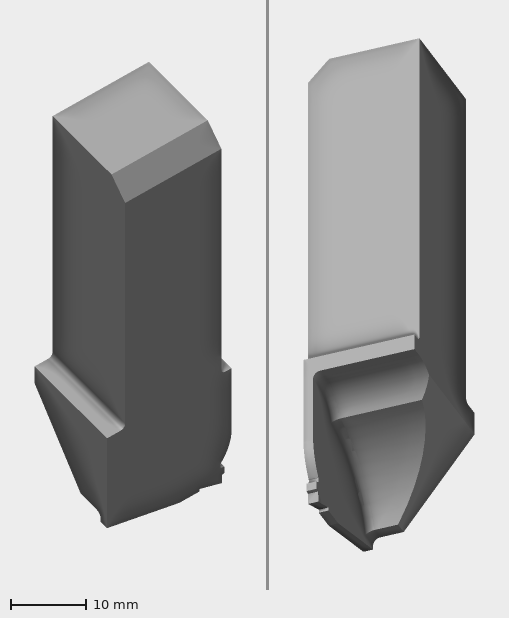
import cadquery as cq

height = 70.0
width = 16.0
head_depth = 20.7

shank_front = 3.0
shank_back = shank_front + width
shank_chamfer = 3.0
front_shoulder_fillet = 0.85
back_shoulder_fillet = 0.7

head_top = 21.9
slope_top = 18.55
slope_end_x = 10.2
slope_end_z = 5.6
blade_thickness = 1.4
blade_face_x = width - blade_thickness
blade_bottom = 0.85
blade_flat_start = 12.05
blade_front_z = 3.9
nose_start_z = 8.8
nose_mid = (20.15, 6.3)
nose_end = (18.9, 4.0)

pocket_fillet = 1.05
small_disc_center = (19.1, 13.65)
small_disc_radius = 5.95
large_disc_center = (17.2, 0.5)
large_disc_radius = 16.1
pocket_margin = 7.0

tip = (19.1, 0.0)
tip_heel = (19.1, 1.6)
tip_side_low = (19.6, 1.75)
tip_side_facet = (19.6, 2.65)
tip_bottom_facet = (17.65, 0.5)
tip_side_high = (19.6, 2.95)
insert_back_low = (18.9, 3.2)
insert_back_high = (18.7, 5.9)
insert_top_back = (17.9, 8.0)
insert_top_front = (15.4, 8.0)
insert_shoulder = (14.9, 7.0)
insert_front_mid = (15.0, 5.9)
insert_front_low = (15.4, 1.3)
tip_rise = 0.15


def make_body_block():
    """Shank and head outline in YZ, with rounded shoulders."""
    outline = (
        cq.Workplane("YZ")
        .moveTo(0, blade_front_z)
        .lineTo(blade_flat_start, blade_bottom)
        .lineTo(insert_front_low[0], blade_bottom)
        .lineTo(*insert_front_low)
        .lineTo(*nose_end)
        .threePointArc(nose_mid, (head_depth, nose_start_z))
        .lineTo(head_depth, head_top)
        .lineTo(shank_back, head_top)
        .lineTo(shank_back, height)
        .lineTo(shank_front, height)
        .lineTo(shank_front, head_top)
        .lineTo(0, head_top)
        .close()
    )
    block = outline.extrude(width)
    middle_x = width / 2
    block = block.edges(cq.NearestToPointSelector((middle_x, shank_front, head_top))).fillet(
        front_shoulder_fillet
    )
    return block.edges(cq.NearestToPointSelector((middle_x, shank_back, head_top))).fillet(
        back_shoulder_fillet
    )


def make_side_profile():
    """XZ limit of the holder: top chamfer and sloped underside."""
    return (
        cq.Workplane("XZ")
        .moveTo(0, slope_top)
        .lineTo(slope_end_x, slope_end_z)
        .lineTo(slope_end_x, 0)
        .lineTo(width, 0)
        .lineTo(width, height - shank_chamfer)
        .lineTo(width - shank_chamfer, height)
        .lineTo(0, height)
        .close()
        .extrude(-head_depth)
    )


def make_disc_cutter(center, radius):
    """Disc-shaped cutter, rounded where its wall meets the blade face."""
    disc = cq.Workplane("YZ").center(*center).circle(radius).extrude(blade_face_x)
    return disc.faces(">X").edges().fillet(pocket_fillet)


def make_box_cutter(y_start, y_end, z_bottom, z_top):
    """Straight cutter with a rounded upper edge at the blade face."""
    box = cq.Workplane("XY").box(
        blade_face_x, y_end - y_start, z_top - z_bottom, centered=False
    ).translate((0, y_start, z_bottom))
    return box.edges(">X and >Z").fillet(pocket_fillet)


def make_pocket():
    """Two discs, a level slot behind the small one and a level cut along the bottom."""
    back_end = head_depth + pocket_margin
    small_y, small_z = small_disc_center
    back_slot = make_box_cutter(small_y, back_end, small_z, small_z + small_disc_radius)
    bottom_cut = make_box_cutter(-pocket_margin, back_end, -pocket_margin, slope_end_z)
    return (
        make_disc_cutter(large_disc_center, large_disc_radius)
        .union(make_disc_cutter(small_disc_center, small_disc_radius))
        .union(back_slot)
        .union(bottom_cut)
    )


def make_insert():
    """Flat insert as thick as the blade, with a raised lip at its cutting tip."""
    plate = (
        cq.Workplane("YZ", origin=(blade_face_x, 0, 0))
        .polyline([
            tip, tip_heel, tip_side_low, tip_side_high, insert_back_low, insert_back_high,
            insert_top_back, insert_top_front, insert_shoulder, insert_front_mid, insert_front_low,
        ])
        .close()
        .extrude(blade_thickness)
    )
    return plate.union(make_tip_lip())


def make_tip_lip():
    """Wedge that rises from the facet line to its full height at the tip."""
    corners = [tip, tip_heel, tip_side_low, tip_side_facet, tip_bottom_facet]
    lip = (
        cq.Workplane("YZ", origin=(blade_face_x, 0, 0))
        .polyline(corners)
        .close()
        .extrude(-tip_rise)
    )
    along_y = tip_bottom_facet[0] - tip_side_facet[0]
    along_z = tip_bottom_facet[1] - tip_side_facet[1]
    along = cq.Vector(0, along_y, along_z)
    start = cq.Vector(blade_face_x, *tip_side_facet)
    rise = cq.Vector(blade_face_x - tip_rise, *tip) - start
    normal = along.cross(rise)
    if normal.x > 0:
        normal = normal * -1
    plane = cq.Plane(origin=start, xDir=along, normal=normal)
    trim_size = 2 * head_depth
    trim = cq.Workplane(plane).rect(trim_size, trim_size).extrude(head_depth)
    return lip.cut(trim)


def make_holder(insert):
    holder = make_body_block().intersect(make_side_profile())
    return holder.cut(make_pocket()).cut(insert)


insert = make_insert()
holder = make_holder(insert)
result = cq.Compound.makeCompound([holder.val(), insert.val()])